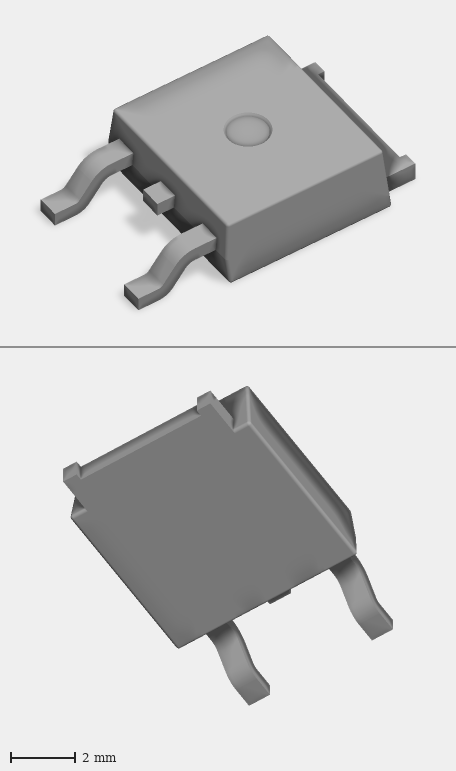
import cadquery as cq
import math


OVERALL_LENGTH = 10.41
HOUSING_WIDTH = 6.71
HOUSING_LENGTH = 6.2
HOUSING_HEIGHT = 2.39

DRAFT_ANGLE = math.radians(5.0)
DRAFT_SLOPE = math.tan(DRAFT_ANGLE)
EDGE_RADIUS = 0.1
PARTING_HEIGHT = 1.01
DIMPLE_TOP_RADIUS = 0.76
DIMPLE_FLOOR_RADIUS = 0.68
DIMPLE_DEPTH = 0.09

CORNER_SETBACK = EDGE_RADIUS * (1 / math.tan((math.pi / 2 - DRAFT_ANGLE) / 2) - 1)
BASE_HALF_WIDTH = HOUSING_WIDTH / 2 + CORNER_SETBACK
TOP_HALF_WIDTH = BASE_HALF_WIDTH - DRAFT_SLOPE * HOUSING_HEIGHT
BASE_BACK = HOUSING_LENGTH + CORNER_SETBACK
TOP_BACK = BASE_BACK - DRAFT_SLOPE * HOUSING_HEIGHT
BASE_FRONT = DRAFT_SLOPE * PARTING_HEIGHT
TOP_FRONT = DRAFT_SLOPE * (HOUSING_HEIGHT - PARTING_HEIGHT)

LEAD_WIDTH = 0.78
LEAD_THICKNESS = 0.5
LEAD_OFFSET = 2.29
SHOULDER_LENGTH = 0.77
FOOT_LENGTH = 0.75
UPPER_BEND_RADIUS = 0.73
LOWER_BEND_RADIUS = 0.49
BEND_ANGLE = math.radians(51.0)
STUB_LENGTH = 0.62
ANCHOR_DEPTH = 0.52

LEAD_DROP = PARTING_HEIGHT
BEND_SUM = UPPER_BEND_RADIUS + LOWER_BEND_RADIUS
SLANT_LENGTH = (LEAD_DROP - BEND_SUM * (1 - math.cos(BEND_ANGLE))) / math.sin(BEND_ANGLE)
BEND_RUN = BEND_SUM * math.sin(BEND_ANGLE) + SLANT_LENGTH * math.cos(BEND_ANGLE)
LEAD_REACH = SHOULDER_LENGTH + BEND_RUN + FOOT_LENGTH

TAB_WIDTH = 5.49
TAB_THICKNESS = 0.68
TAB_END = OVERALL_LENGTH - LEAD_REACH
TAB_INNER_END = HOUSING_LENGTH - ANCHOR_DEPTH
TAB_NOTCH_WIDTH = 4.48
TAB_NOTCH_DEPTH = 0.24
LOCK_WIDTH = 2.53
LOCK_SETBACK = 1.07
LOCK_CORNER_RADIUS = 0.25


def make_housing_block():
    """Drafted block with rounded edges, creased along the front parting line."""
    length_prism = (
        cq.Workplane("YZ")
        .polyline([
            (BASE_FRONT, 0),
            (BASE_BACK, 0),
            (TOP_BACK, HOUSING_HEIGHT),
            (TOP_FRONT, HOUSING_HEIGHT),
            (0, PARTING_HEIGHT),
        ])
        .close()
        .extrude(BASE_HALF_WIDTH, both=True)
    )
    width_prism = (
        cq.Workplane("XZ")
        .polyline([
            (-BASE_HALF_WIDTH, 0),
            (BASE_HALF_WIDTH, 0),
            (TOP_HALF_WIDTH, HOUSING_HEIGHT),
            (-TOP_HALF_WIDTH, HOUSING_HEIGHT),
        ])
        .close()
        .extrude(BASE_BACK, both=True)
    )
    block = length_prism.intersect(width_prism)
    parting_edge = cq.selectors.NearestToPointSelector((0, 0, PARTING_HEIGHT))
    rounded_edges = block.edges(cq.selectors.InverseSelector(parting_edge))
    return rounded_edges.fillet(EDGE_RADIUS)


def make_dimple():
    """Shallow conical recess in the middle of the flat top."""
    center_y = (TOP_FRONT + TOP_BACK) / 2
    return (
        cq.Workplane("XY", origin=(0, center_y, HOUSING_HEIGHT - DIMPLE_DEPTH))
        .circle(DIMPLE_FLOOR_RADIUS)
        .workplane(offset=DIMPLE_DEPTH)
        .circle(DIMPLE_TOP_RADIUS)
        .loft(ruled=True)
    )


def make_lock_key():
    """Moulded key, flush with the tab, that fills the slot in the tab."""
    key_end = TAB_END - LOCK_SETBACK
    key_length = key_end - TAB_INNER_END
    return (
        cq.Workplane("XY", origin=(0, key_end - key_length / 2, 0))
        .rect(LOCK_WIDTH, key_length)
        .extrude(TAB_THICKNESS)
        .edges("|Z and >Y")
        .fillet(LOCK_CORNER_RADIUS)
    )


def make_tab():
    """Flat tab with a notch in its free end and a slot for the moulded key."""
    plate = cq.Workplane("XY").box(
        TAB_WIDTH, TAB_END - TAB_INNER_END, TAB_THICKNESS, centered=(True, False, False)
    ).translate((0, TAB_INNER_END, 0))
    notch = cq.Workplane("XY").box(
        TAB_NOTCH_WIDTH, TAB_NOTCH_DEPTH, TAB_THICKNESS, centered=(True, False, False)
    ).translate((0, TAB_END - TAB_NOTCH_DEPTH, 0))
    return plate.cut(notch).cut(make_lock_key())


def make_gull_wing_lead(x_center):
    """Lead bent down from the parting line to a flat foot."""
    center_height = PARTING_HEIGHT + LEAD_THICKNESS / 2
    foot_height = LEAD_THICKNESS / 2
    bend_start = -SHOULDER_LENGTH
    foot_start = bend_start - BEND_RUN
    upper_center = (bend_start, center_height - UPPER_BEND_RADIUS)
    lower_center = (foot_start, foot_height + LOWER_BEND_RADIUS)

    def upper_point(angle, shift):
        radius = UPPER_BEND_RADIUS + shift
        return (upper_center[0] - radius * math.sin(angle), upper_center[1] + radius * math.cos(angle))

    def lower_point(angle, shift):
        radius = LOWER_BEND_RADIUS - shift
        return (lower_center[0] + radius * math.sin(angle), lower_center[1] - radius * math.cos(angle))

    outer = LEAD_THICKNESS / 2
    inner = -LEAD_THICKNESS / 2
    return (
        cq.Workplane("YZ", origin=(x_center, 0, 0))
        .moveTo(ANCHOR_DEPTH, center_height + outer)
        .lineTo(*upper_point(0, outer))
        .threePointArc(upper_point(BEND_ANGLE / 2, outer), upper_point(BEND_ANGLE, outer))
        .lineTo(*lower_point(BEND_ANGLE, outer))
        .threePointArc(lower_point(BEND_ANGLE / 2, outer), lower_point(0, outer))
        .lineTo(-LEAD_REACH, foot_height + outer)
        .lineTo(-LEAD_REACH, foot_height + inner)
        .lineTo(*lower_point(0, inner))
        .threePointArc(lower_point(BEND_ANGLE / 2, inner), lower_point(BEND_ANGLE, inner))
        .lineTo(*upper_point(BEND_ANGLE, inner))
        .threePointArc(upper_point(BEND_ANGLE / 2, inner), upper_point(0, inner))
        .lineTo(ANCHOR_DEPTH, center_height + inner)
        .close()
        .extrude(LEAD_WIDTH / 2, both=True)
    )


def make_stub_lead():
    """Straight middle lead, cropped short."""
    return cq.Workplane("XY").box(
        LEAD_WIDTH, STUB_LENGTH + ANCHOR_DEPTH, LEAD_THICKNESS, centered=(True, False, False)
    ).translate((0, -STUB_LENGTH, PARTING_HEIGHT))


def make_housing(inserts):
    """Housing with its dimple and key, recessed to fit each of the inserts."""
    body = make_housing_block().cut(make_dimple()).union(make_lock_key())
    for insert in inserts:
        body = body.cut(insert)
    return body


tab = make_tab()
stub_lead = make_stub_lead()
gull_wing_leads = [make_gull_wing_lead(side * LEAD_OFFSET) for side in (-1, 1)]
housing = make_housing([tab, stub_lead, *gull_wing_leads])

result = cq.Compound.makeCompound([
    housing.solids().val(),
    tab.solids().val(),
    stub_lead.solids().val(),
    *[lead.solids().val() for lead in gull_wing_leads],
])